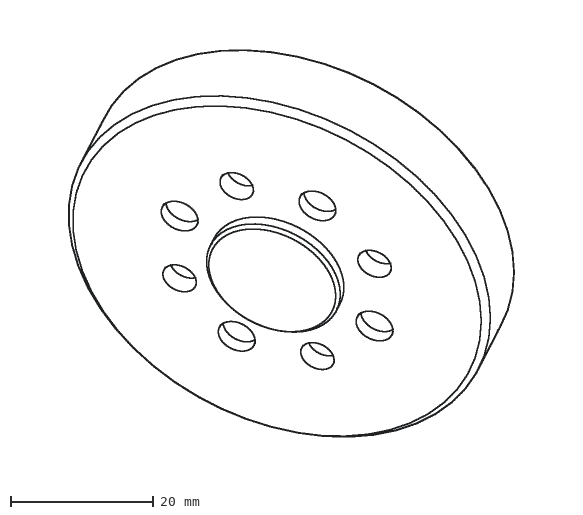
import cadquery as cq

disc_diameter = 63.0
disc_thickness = 12.0
disc_chamfer = 1.0

boss_diameter = 20.0
boss_height = 2.0
boss_chamfer = 0.5

hole_circle_radius = 15.75
holes_per_kind = 4
hole_spacing_angle = 360 / (2 * holes_per_kind)
first_blind_angle = hole_spacing_angle / 2
first_through_angle = first_blind_angle + hole_spacing_angle

through_hole_diameter = 5.5
through_mouth_length = 2.0
back_bore_diameter = 9.0

blind_hole_diameter = 5.0
blind_hole_depth = 2.95


def cylinder_along_y(diameter, start, end):
    """Cylinder about the Y axis between two Y positions."""
    return cq.Workplane("XZ", origin=(0, start, 0)).circle(diameter / 2).extrude(start - end)


def hole_ring(diameter, first_angle, start, end):
    """Evenly spaced hole cutters between two Y positions."""
    return (
        cq.Workplane("XZ", origin=(0, start, 0))
        .polarArray(hole_circle_radius, first_angle, 360, holes_per_kind)
        .circle(diameter / 2)
        .extrude(start - end)
    )


disc = cylinder_along_y(disc_diameter, 0, disc_thickness).edges().chamfer(disc_chamfer)
boss = cylinder_along_y(boss_diameter, 0, -boss_height).faces("<Y").edges().chamfer(boss_chamfer)

through_holes = hole_ring(through_hole_diameter, first_through_angle, 0, disc_thickness)
back_bores = hole_ring(back_bore_diameter, first_through_angle, through_mouth_length, disc_thickness)
blind_holes = hole_ring(blind_hole_diameter, first_blind_angle, 0, blind_hole_depth)

result = disc.union(boss).cut(through_holes).cut(back_bores).cut(blind_holes)